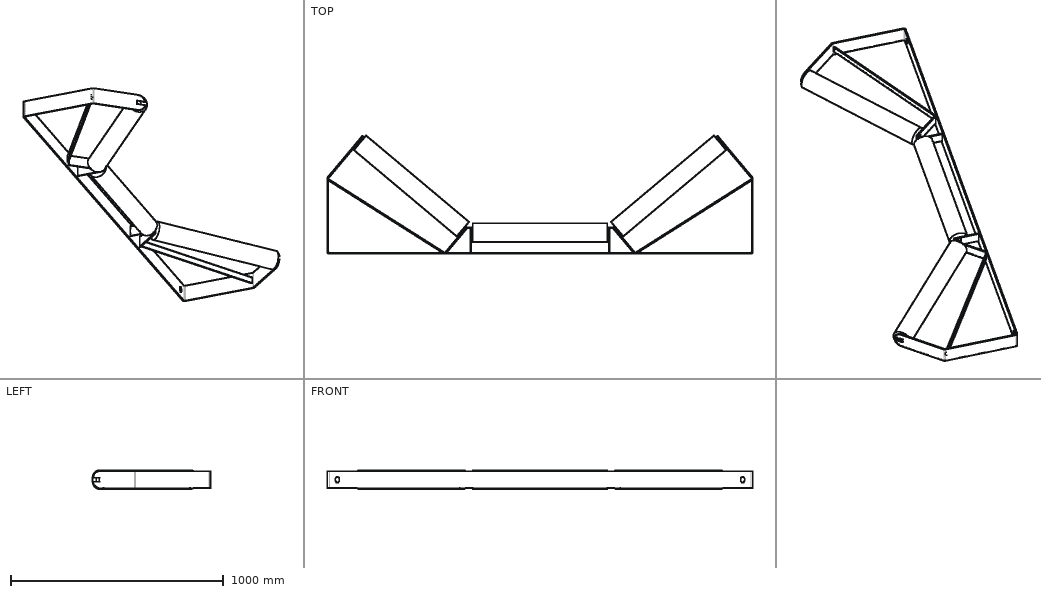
import cadquery as cq
import math

frame_length = 2000.0
strip_width = 80.0
strip_thickness = 5.0
bend_radius = 10.0
tilt = 40.0

roller_diameter = 90.0
roller_length = 632.0
end_gap = 5.0
shaft_size = 18.0
center_axis_y = 100.0
wing_end_x = 362.0
wing_end_y = 115.0
tip_drop = 5.0

bracket_width = 50.0
bracket_top_y = 125.0
brace_width = 30.0
brace_foot_x = 448.0
brace_top_y = 352.0

slot_width = 18.0
slot_height = 25.0
slot_inset = 48.0

half_length = frame_length / 2
roller_radius = roller_diameter / 2
wall_inner_x = half_length - strip_thickness
inner_bend_radius = bend_radius - strip_thickness
tip_radius = strip_width / 2
plate_outer = end_gap + strip_thickness
tilt_cos = math.cos(math.radians(tilt))
tilt_sin = math.sin(math.radians(tilt))


def wing_point(along, above):
    """XY point `along` the right wing axis from its inner end, and `above` it, square to the axis."""
    x = wing_end_x + along * tilt_cos - above * tilt_sin
    y = wing_end_y + along * tilt_sin + above * tilt_cos
    return (x, y)


def wing_point_at_x(along, x):
    """Point at the given x on the line square to the wing axis at `along`."""
    return wing_point(along, (wing_end_x + along * tilt_cos - x) / tilt_sin)


def wing_point_at_y(along, y):
    """Point at the given y on the line square to the wing axis at `along`."""
    return wing_point(along, (y - wing_end_y - along * tilt_sin) / tilt_cos)


def place_on_wing(body):
    """Move a body built along +X from the origin onto the right wing axis."""
    return body.rotate((0, 0, 0), (0, 0, 1), tilt).translate((wing_end_x, wing_end_y, 0))


def mirror_to_left(body):
    return body.mirror("YZ")


def strip(outline, width):
    """Strip with the given XY outline, centered on Z = 0."""
    return cq.Workplane("XY").polyline(outline).close().extrude(width / 2, both=True)


def make_roller():
    """Roller along +X from the origin, its square shaft ends flush with the plates' far faces."""
    shell = cq.Workplane("YZ").circle(roller_radius).extrude(roller_length)
    shaft_length = roller_length + 2 * plate_outer
    shaft = cq.Workplane("XY").box(shaft_length, shaft_size, shaft_size)
    return shell.union(shaft.translate((roller_length / 2, 0, 0)))


center_roller = make_roller().translate((-roller_length / 2, center_axis_y, 0))
right_roller = place_on_wing(make_roller())
left_roller = mirror_to_left(right_roller)
rollers = [center_roller, right_roller, left_roller]


arm_inner = roller_length + end_gap
arm_outer = roller_length + plate_outer
arm_end = tip_radius - tip_drop
outer_corner = wing_point_at_x(arm_outer, half_length)
inner_corner = wing_point_at_x(arm_inner, wall_inner_x)


def make_arm_cutter():
    """Waste to remove from an arm, built along +X: the corners of its tip and the open shaft slot."""
    above_tip = cq.Workplane("YZ", origin=(arm_inner, -tip_drop, 0))
    tip_square = above_tip.center(tip_radius, 0).rect(2 * tip_radius, strip_width).extrude(strip_thickness)
    corners = tip_square.cut(above_tip.circle(tip_radius).extrude(strip_thickness))
    slot_bottom = -shaft_size / 2
    slot = (
        cq.Workplane("YZ", origin=(arm_inner, (arm_end + slot_bottom) / 2, 0))
        .rect(arm_end - slot_bottom, shaft_size)
        .extrude(strip_thickness)
    )
    return place_on_wing(corners.union(slot))


def make_frame():
    """One strip bent into the base, two end walls and two arms that hold the outer shaft ends."""
    right_half = [
        (half_length, 0),
        outer_corner,
        wing_point(arm_outer, arm_end),
        wing_point(arm_inner, arm_end),
        inner_corner,
        (wall_inner_x, strip_thickness),
    ]
    left_half = [(-x, y) for x, y in reversed(right_half)]
    body = strip(right_half + left_half, strip_width)

    bends = [
        ((half_length, 0), bend_radius),
        (outer_corner, bend_radius),
        (inner_corner, inner_bend_radius),
        ((wall_inner_x, strip_thickness), inner_bend_radius),
    ]
    for (x, y), radius in bends:
        for side in (1, -1):
            corner = cq.selectors.NearestToPointSelector((side * x, y, 0))
            body = body.edges("|Z").edges(corner).fillet(radius)

    arm_cutter = make_arm_cutter()
    body = body.cut(arm_cutter).cut(mirror_to_left(arm_cutter))

    slot_x = half_length - slot_inset
    slots = (
        cq.Workplane("XZ")
        .pushPoints([(slot_x, 0), (-slot_x, 0)])
        .slot2D(slot_height, slot_width, 90)
        .extrude(-strip_thickness)
    )
    return body.cut(slots)


frame = make_frame()


def make_right_bracket():
    """Bent strip on the base, holding the center roller's and a wing roller's inner shaft ends."""
    post_x = roller_length / 2 + end_gap
    under_top_y = bracket_top_y - strip_thickness
    outline = [
        (post_x, strip_thickness),
        (post_x, bracket_top_y),
        wing_point_at_y(-end_gap, bracket_top_y),
        wing_point_at_y(-end_gap, strip_thickness),
        wing_point_at_y(-plate_outer, strip_thickness),
        wing_point_at_y(-plate_outer, under_top_y),
        (post_x + strip_thickness, under_top_y),
        (post_x + strip_thickness, strip_thickness),
    ]
    return strip(outline, bracket_width).cut(center_roller).cut(right_roller)


right_bracket = make_right_bracket()
brackets = [right_bracket, mirror_to_left(right_bracket)]


def make_right_brace():
    """Flat bar from the base up to the top of the end wall."""
    run = wall_inner_x - brace_foot_x
    rise = brace_top_y - strip_thickness
    length = math.hypot(run, rise)
    outline = [
        (brace_foot_x, strip_thickness),
        (wall_inner_x, brace_top_y),
        (wall_inner_x, brace_top_y - strip_thickness * length / run),
        (brace_foot_x + strip_thickness * length / rise, strip_thickness),
    ]
    return strip(outline, brace_width)


right_brace = make_right_brace()
braces = [right_brace, mirror_to_left(right_brace)]

bodies = [frame] + rollers + brackets + braces
result = cq.Compound.makeCompound([body.val() for body in bodies])